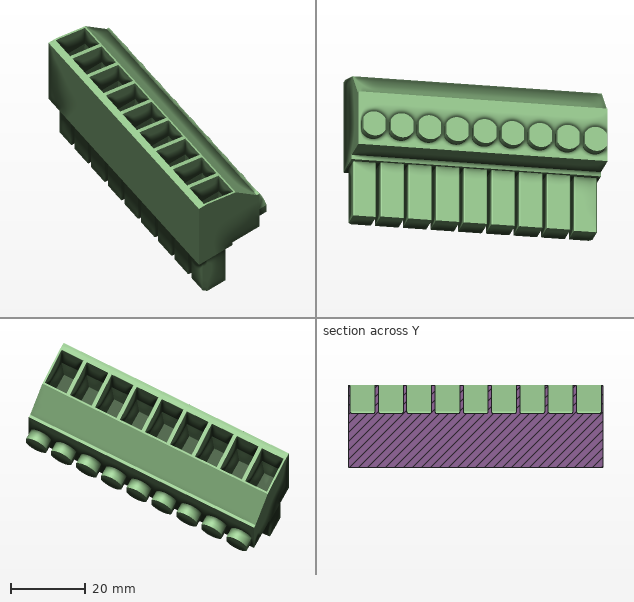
import cadquery as cq

terminal_count = 9
length = 68.6
pitch = length / terminal_count
body_depth = 20.15
top_z = 41.15
leg_height = 15.5

top_flat_depth = 2.6
ridge_y = 12.3
ridge_z = 38.8
shoulder_y = 19.35
shoulder_z = ridge_z - (shoulder_y - ridge_y)
step_y = 11.2
step_height = 1.25

well_width = 6.6
well_front_y = 2.05
well_back_y = 11.8
shaft_bottom_z = shoulder_z
taper_depth = 2.9
floor_width = 3.2
floor_front_y = 3.9
floor_back_y = 10.15

leg_width = 6.5
leg_front_y = 2.5
leg_back_y = 10.2
end_leg_back_y = 9.6
leg_fillet = 0.35
end_leg_chamfer = 0.9
end_leg_setback = 0.2

screw_diameter = 6.85
screw_width = 6.1
screw_height = 2.95
screw_z = 21.8

terminal_centers = [(i + 0.5) * pitch for i in range(terminal_count)]


def make_body():
    outline = [
        (0, leg_height),
        (0, top_z),
        (top_flat_depth, top_z),
        (ridge_y, ridge_z),
        (shoulder_y, shoulder_z),
        (body_depth, shoulder_z),
        (body_depth, leg_height + step_height),
        (step_y, leg_height + step_height),
        (step_y, leg_height),
    ]
    return cq.Workplane("YZ").polyline(outline).close().extrude(length)


def make_well(center_x):
    well_y = (well_front_y + well_back_y) / 2
    floor_y = (floor_front_y + floor_back_y) / 2
    shaft = (
        cq.Workplane("XY", origin=(center_x, well_y, shaft_bottom_z))
        .rect(well_width, well_back_y - well_front_y)
        .extrude(top_z - shaft_bottom_z)
    )
    taper = (
        cq.Workplane("XY", origin=(center_x, well_y, shaft_bottom_z))
        .rect(well_width, well_back_y - well_front_y)
        .workplane(offset=-taper_depth)
        .center(0, floor_y - well_y)
        .rect(floor_width, floor_back_y - floor_front_y)
        .loft(ruled=True)
    )
    return shaft.union(taper)


def make_inner_leg(center_x):
    return (
        cq.Workplane("XY", origin=(center_x, leg_front_y, 0))
        .box(leg_width, leg_back_y - leg_front_y, leg_height, centered=(True, False, False))
        .edges("|Z")
        .fillet(leg_fillet)
    )


def make_left_end_leg(center_x):
    """Slightly smaller leg with a chamfer on its outer front corner."""
    width = leg_width - end_leg_setback
    leg = (
        cq.Workplane("XY", origin=(center_x + end_leg_setback / 2, leg_front_y, 0))
        .box(width, end_leg_back_y - leg_front_y, leg_height, centered=(True, False, False))
    )
    leg = leg.faces("<X").edges("<Y").chamfer(end_leg_chamfer)
    leg = leg.faces(">X").edges("|Z").fillet(leg_fillet)
    return leg.faces("<X").edges(">Y").fillet(leg_fillet)


def make_screw_head(center_x):
    disc = (
        cq.Workplane("XZ", origin=(center_x, body_depth, screw_z))
        .circle(screw_diameter / 2)
        .extrude(-screw_height)
    )
    flats = cq.Workplane("XY").box(screw_width, 2 * screw_height, screw_diameter)
    return disc.intersect(flats.translate((center_x, body_depth, screw_z)))


result = make_body()

for x in terminal_centers:
    result = result.cut(make_well(x)).union(make_screw_head(x))

for x in terminal_centers[1:-1]:
    result = result.union(make_inner_leg(x))

left_end_leg = make_left_end_leg(terminal_centers[0])
right_end_leg = left_end_leg.mirror("YZ", (length / 2, 0, 0))
result = result.union(left_end_leg).union(right_end_leg)